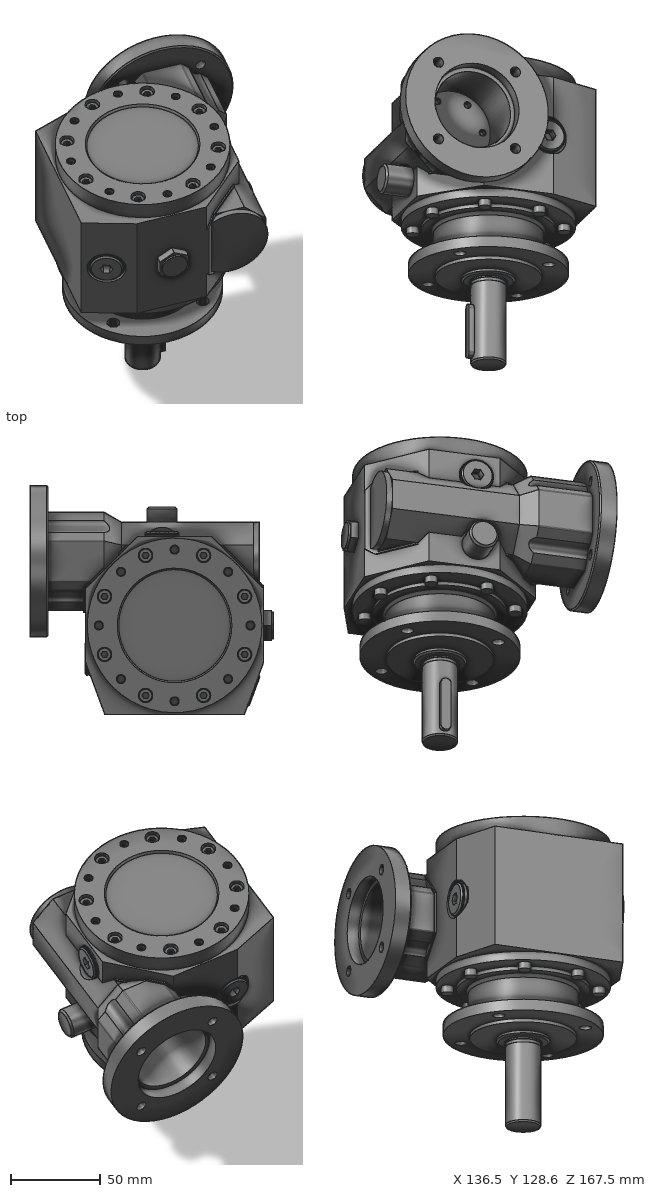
import cadquery as cq
import math

body_width = 100.0
body_height = 70.0
front_face_width = 78.4
half_width = body_width / 2
octagon_half_angle = math.radians(22.5)
octagon_corner = half_width * math.tan(octagon_half_angle)

cover_diameter = 98.0
top_z = 45.0
lower_cover_z = -39.9
bolt_circle_radius = 42.5
bolt_count = 8
bolt_start_angle = 180 / bolt_count
head_diameter = 7.0
head_height = 4.0
head_recess = 2.0
counterbore_diameter = 8.0
hex_key_size = 4.0
tapped_diameter = 4.2
tapped_rim_diameter = 5.0
tapped_depth = 8.4
dish_diameter = 64.3
dish_floor_diameter = 62.6
dish_depth = 1.5

register_diameter = 75.0
register_z = -42.0
hub_diameter = 62.0
hub_flare_diameter = 64.0
hub_flare_z = -44.2
output_flange_diameter = 90.0
output_flange_top_z = -62.0
output_flange_z = -68.3
spigot_diameter = 60.0
spigot_z = -70.4
seal_diameter = 30.0
seal_z = -72.7
seal_chamfer = 1.0
shoulder_diameter = 21.0
shoulder_z = -73.5
neck_diameter = 19.6
neck_z = -75.4
shaft_diameter = 20.0
shaft_end_z = -122.5
shaft_chamfer = 0.5
shaft_chamfer_height = 1.0
output_hole_diameter = 7.0
output_hole_radius = 37.5
output_hole_count = 4
output_hole_start_angle = 45
key_width = 6.0
key_outer_y = 12.5
key_top_z = -87.8
key_bottom_z = -119.8

input_y = 36.0
input_face_x = -81.0
input_flange_diameter = 85.1
input_flange_thickness = 10.0
input_flange_chamfer = 0.8
input_hole_diameter = 5.9
input_hole_offset = 23.0
input_socket_diameter = 50.0
input_socket_depth = 7.0
input_bore_diameter = 45.0
input_bore_end_x = -40.5
inner_hole_diameter = 3.4
inner_hole_rim_diameter = 4.0
inner_hole_radius = 18.0
inner_hole_depth = 3.4
inner_hole_count = 6
neck_tube_apothem = 27.6
taper_start_x = -39.7
taper_end_x = -29.8
worm_tube_apothem = 22.0
worm_tube_end_x = 44.2
end_cap_x = 47.5
edge_radius = 1.0
groove_radius = 6.7
collar_width = 1.0

plug_diameter = 19.0
plug_face_diameter = 17.0
plug_height = 3.7
plug_chamfer_height = 0.8
plug_groove_diameter = 18.1
plug_groove_height = 1.7
plug_groove_width = 0.7
plug_socket_size = 7.0
plug_socket_depth = 5.9
spotface_diameter = 22.0
left_plug_y = -18.6
left_plug_seat_depth = 3.5
front_plug_y = -36.7
front_plug_seat_depth = 2.8
rear_port_x = -7.0
rear_port_z = 21.8
rear_spotface_diameter = 19.6
rear_plug_seat_depth = 1.0
breather_diameter = 17.0
breather_end_y = 66.5
breather_chamfer = 1.2
hex_plug_size = 19.6
hex_plug_end_x = 54.3
hex_plug_disc_diameter = 15.0
hex_plug_disc_end_x = 55.5


def z_disc(diameter, z_from, z_to):
    return cq.Workplane("XY").workplane(offset=z_from).circle(diameter / 2).extrude(z_to - z_from)


def x_plane(x):
    """Plane facing +X centred on the input axis: local x is Y, local y is Z."""
    return cq.Workplane(cq.Plane((x, input_y, 0), (0, 1, 0), (1, 0, 0)))


def x_disc(diameter, x_from, x_to):
    return x_plane(x_from).circle(diameter / 2).extrude(x_to - x_from)


def octagon_across(apothem):
    """Corner points of a regular octagon with flats facing the axes."""
    radius = apothem / math.cos(octagon_half_angle)
    angles = [(2 * i + 1) * octagon_half_angle for i in range(8)]
    return [(radius * math.cos(a), radius * math.sin(a)) for a in angles]


def octagon_tube(apothem, x_from, x_to):
    return x_plane(x_from).polyline(octagon_across(apothem)).close().extrude(x_to - x_from)


def countersunk_hole(plane, points, diameter, rim_diameter, depth):
    """Holes going below the plane, with a 45 degree chamfer at the rim."""
    rim = (rim_diameter - diameter) / 2
    placed = plane.pushPoints(points)
    holes = placed.circle(diameter / 2).extrude(-depth)
    return holes.union(placed.circle(rim_diameter / 2).extrude(-rim, taper=45))


def circle_points(radius, count, start_angle):
    angles = [math.radians(start_angle + 360 * i / count) for i in range(count)]
    return [(radius * math.cos(a), radius * math.sin(a)) for a in angles]


def body_sketch():
    right = [
        (front_face_width / 2, -half_width),
        (half_width, -octagon_corner),
        (half_width, octagon_corner),
        (octagon_corner, half_width),
    ]
    left = [(-x, y) for x, y in reversed(right)]
    return cq.Workplane("XY").workplane(offset=-body_height / 2).polyline(right + left).close()


def make_body():
    body = body_sketch().extrude(body_height)
    return body.union(z_disc(cover_diameter, lower_cover_z, top_z))


def make_output():
    profile = [
        (0, lower_cover_z),
        (register_diameter / 2, lower_cover_z),
        (register_diameter / 2, register_z),
        (hub_flare_diameter / 2, register_z),
        (hub_diameter / 2, hub_flare_z),
        (hub_diameter / 2, output_flange_top_z),
        (output_flange_diameter / 2, output_flange_top_z),
        (output_flange_diameter / 2, output_flange_z),
        (spigot_diameter / 2, output_flange_z),
        (spigot_diameter / 2, spigot_z),
        (seal_diameter / 2, spigot_z),
        (seal_diameter / 2, seal_z + seal_chamfer),
        (seal_diameter / 2 - seal_chamfer, seal_z),
        (shoulder_diameter / 2, seal_z),
        (shoulder_diameter / 2, shoulder_z),
        (neck_diameter / 2, shoulder_z),
        (neck_diameter / 2, neck_z),
        (shaft_diameter / 2, neck_z),
        (shaft_diameter / 2, shaft_end_z + shaft_chamfer_height),
        (shaft_diameter / 2 - shaft_chamfer, shaft_end_z),
        (0, shaft_end_z),
    ]
    turned = cq.Workplane("XZ").polyline(profile).close().revolve(360, (0, 0), (0, 1))
    holes = (
        cq.Workplane("XY").workplane(offset=output_flange_z)
        .pushPoints(circle_points(output_hole_radius, output_hole_count, output_hole_start_angle))
        .circle(output_hole_diameter / 2).extrude(output_flange_top_z - output_flange_z)
    )
    key = (
        cq.Workplane("XZ").center(0, (key_top_z + key_bottom_z) / 2)
        .slot2D(key_top_z - key_bottom_z, key_width, 90).extrude(-key_outer_y)
    )
    return turned.cut(holes).union(key)


def make_input():
    flange_back_x = input_face_x + input_flange_thickness
    flange = x_disc(input_flange_diameter, input_face_x, flange_back_x)
    flange = flange.faces(">X").edges().chamfer(input_flange_chamfer)
    neck = octagon_tube(neck_tube_apothem, flange_back_x, taper_start_x).edges("|X").fillet(edge_radius)
    taper = (
        x_plane(taper_start_x).polyline(octagon_across(neck_tube_apothem)).close()
        .workplane(offset=taper_end_x - taper_start_x)
        .polyline(octagon_across(worm_tube_apothem)).close().loft(ruled=True)
    )
    housing = octagon_tube(worm_tube_apothem, taper_end_x, worm_tube_end_x)
    cap = x_disc(2 * worm_tube_apothem, worm_tube_end_x, end_cap_x)
    offsets = [(y, z) for y in (-input_hole_offset, input_hole_offset)
               for z in (-input_hole_offset, input_hole_offset)]
    grooves = (
        x_plane(flange_back_x).pushPoints(offsets).circle(groove_radius)
        .extrude(taper_end_x - flange_back_x)
    )
    flange_holes = x_plane(input_face_x).pushPoints(offsets).circle(input_hole_diameter / 2)
    flange_holes = flange_holes.extrude(input_flange_thickness)
    tube = neck.union(taper).cut(grooves)
    return tube.union(housing).union(cap).union(flange.cut(flange_holes))


def make_collars():
    """Raised bands where the tube and the worm housing run into the body."""
    swollen_body = body_sketch().offset2D(collar_width, "intersection").extrude(body_height)
    neck_band = octagon_tube(neck_tube_apothem + collar_width, -body_width, taper_start_x)
    housing_band = octagon_tube(worm_tube_apothem + collar_width, taper_start_x, half_width)
    flat_edge_y = input_y + worm_tube_apothem * math.tan(octagon_half_angle)
    sides = cq.Workplane("XY").box(2 * body_width, 2 * flat_edge_y, body_height)
    return swollen_body.intersect(neck_band.union(housing_band)).intersect(sides)


def make_input_bore():
    socket_floor_x = input_face_x + input_socket_depth
    bore = x_disc(input_socket_diameter, input_face_x, socket_floor_x)
    bore = bore.union(x_disc(input_bore_diameter, socket_floor_x, input_bore_end_x))
    floor = cq.Workplane(cq.Plane((input_bore_end_x, input_y, 0), (0, 1, 0), (-1, 0, 0)))
    holes = countersunk_hole(
        floor, circle_points(inner_hole_radius, inner_hole_count, 0),
        inner_hole_diameter, inner_hole_rim_diameter, inner_hole_depth,
    )
    return bore.union(holes)


def make_cover_cuts():
    top = cq.Workplane("XY").workplane(offset=top_z)
    bolt_points = circle_points(bolt_circle_radius, bolt_count, bolt_start_angle)
    tapped_points = circle_points(bolt_circle_radius, bolt_count, 0)
    counterbores = (
        top.pushPoints(bolt_points).circle(counterbore_diameter / 2).circle(head_diameter / 2)
        .extrude(-head_recess - head_height)
    )
    head_space = top.pushPoints(bolt_points).circle(head_diameter / 2).extrude(-head_recess)
    hex_sockets = top.pushPoints(bolt_points).polygon(6, hex_key_size).extrude(-head_recess - head_height)
    tapped = countersunk_hole(top, tapped_points, tapped_diameter, tapped_rim_diameter, tapped_depth)
    dish = (
        top.circle(dish_diameter / 2).workplane(offset=-dish_depth)
        .circle(dish_floor_diameter / 2).loft()
    )
    return counterbores.union(head_space).union(hex_sockets).union(tapped).union(dish)


def make_lower_bolt_heads():
    return (
        cq.Workplane("XY").workplane(offset=lower_cover_z)
        .pushPoints(circle_points(bolt_circle_radius, bolt_count, bolt_start_angle))
        .circle(head_diameter / 2).extrude(-head_height)
    )


def add_plug(solid, face_point, normal, seat_depth, seat_diameter, seat_reach=0):
    """Cut a round seat below face_point along the normal and stand a socket plug in it."""
    plane = cq.Plane(face_point, cq.Vector(0, 0, 1).cross(cq.Vector(normal)), normal)
    seat = cq.Workplane(plane).workplane(offset=-seat_depth)
    straight = plug_height - plug_chamfer_height
    plug = seat.circle(plug_diameter / 2).extrude(straight)
    groove = (
        seat.workplane(offset=plug_groove_height)
        .circle(plug_diameter / 2).circle(plug_groove_diameter / 2).extrude(plug_groove_width)
    )
    nose = (
        seat.workplane(offset=straight).circle(plug_diameter / 2)
        .workplane(offset=plug_chamfer_height).circle(plug_face_diameter / 2).loft()
    )
    socket = (
        seat.workplane(offset=plug_height - plug_socket_depth)
        .polygon(6, plug_socket_size).extrude(plug_socket_depth)
    )
    pocket = seat.circle(seat_diameter / 2).extrude(seat_depth + seat_reach)
    return solid.cut(pocket).union(plug.cut(groove).union(nose)).cut(socket)


def add_breather(solid):
    port = cq.Workplane(cq.Plane((rear_port_x, half_width, -rear_port_z), (-1, 0, 0), (0, 1, 0)))
    reach = breather_end_y - half_width
    breather = port.circle(breather_diameter / 2).extrude(reach)
    breather = breather.faces(">Y").edges().chamfer(breather_chamfer)
    return solid.cut(port.circle(rear_spotface_diameter / 2).extrude(reach)).union(breather)


def make_hex_plug():
    hexagon = (
        cq.Workplane("YZ").workplane(offset=half_width)
        .transformed(rotate=(0, 0, 90)).polygon(6, hex_plug_size).extrude(hex_plug_end_x - half_width)
    )
    disc = cq.Workplane("YZ").workplane(offset=half_width).circle(hex_plug_disc_diameter / 2)
    return hexagon.union(disc.extrude(hex_plug_disc_end_x - half_width))


side_run = half_width - front_face_width / 2
side_length = half_width - octagon_corner
front_plug_x = half_width + side_run * (front_plug_y + octagon_corner) / side_length
slanted_face_normal = (side_length, -side_run, 0)

result = make_body().union(make_input()).union(make_collars())
result = add_breather(result)
rear_face_point = (rear_port_x, half_width, rear_port_z)
left_face_point = (-half_width, left_plug_y, 0)
front_face_point = (front_plug_x, front_plug_y, 0)
rear_seat_reach = breather_end_y - half_width
result = add_plug(
    result, rear_face_point, (0, 1, 0), rear_plug_seat_depth, rear_spotface_diameter, rear_seat_reach
)
result = add_plug(result, left_face_point, (-1, 0, 0), left_plug_seat_depth, spotface_diameter)
result = add_plug(
    result, front_face_point, slanted_face_normal, front_plug_seat_depth, spotface_diameter
)
result = result.cut(make_input_bore()).cut(make_cover_cuts())
result = result.union(make_output()).union(make_lower_bolt_heads()).union(make_hex_plug())